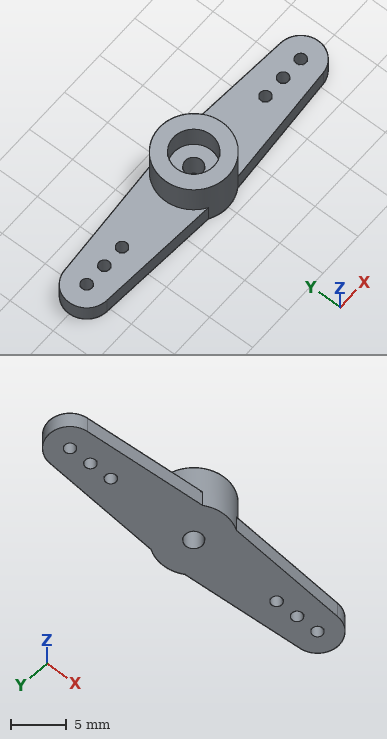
import cadquery as cq
import math

length = 35.4
hub_diameter = 8.0
hub_height = 5.5
arm_thickness = 2.0

tip_radius = 2.48
tip_center_x = length / 2 - tip_radius
arm_root_x = 2.1
arm_root_y = math.sqrt((hub_diameter / 2) ** 2 - arm_root_x ** 2)

bore_diameter = 4.7
bore_depth = 2.65
screw_diameter = 2.0
link_hole_diameter = 1.2
link_hole_pitch = 2.5
link_holes_per_arm = 3


def tip_tangent_point():
    """Point where the straight side from the arm root touches the tip circle."""
    dx = arm_root_x - tip_center_x
    root_angle = math.atan2(arm_root_y, dx)
    tangent_angle = root_angle - math.acos(tip_radius / math.hypot(dx, arm_root_y))
    return (
        tip_center_x + tip_radius * math.cos(tangent_angle),
        tip_radius * math.sin(tangent_angle),
    )


def make_arms():
    """Flat double arm, symmetric about the hub."""
    x, y = tip_tangent_point()
    return (
        cq.Workplane("XY")
        .moveTo(-arm_root_x, -arm_root_y)
        .lineTo(arm_root_x, -arm_root_y)
        .lineTo(x, -y)
        .threePointArc((length / 2, 0), (x, y))
        .lineTo(arm_root_x, arm_root_y)
        .lineTo(-arm_root_x, arm_root_y)
        .lineTo(-x, y)
        .threePointArc((-length / 2, 0), (-x, -y))
        .close()
        .extrude(arm_thickness)
    )


def make_hub():
    """Central cylinder, standing on the same base plane as the arms."""
    return cq.Workplane("XY").circle(hub_diameter / 2).extrude(hub_height)


def cut_hub_bore(body):
    """Wide blind bore from the top, with a screw hole through its floor."""
    return (
        body.faces(">Z")
        .workplane(origin=(0, 0, hub_height))
        .cboreHole(screw_diameter, bore_diameter, bore_depth)
    )


def cut_link_holes(body):
    """Row of through holes in each arm, starting at the tip center."""
    centers = [
        (side * (tip_center_x - i * link_hole_pitch), 0)
        for side in (-1, 1)
        for i in range(link_holes_per_arm)
    ]
    holes = (
        cq.Workplane("XY")
        .pushPoints(centers)
        .circle(link_hole_diameter / 2)
        .extrude(arm_thickness)
    )
    return body.cut(holes)


result = cut_link_holes(cut_hub_bore(make_arms().union(make_hub())))